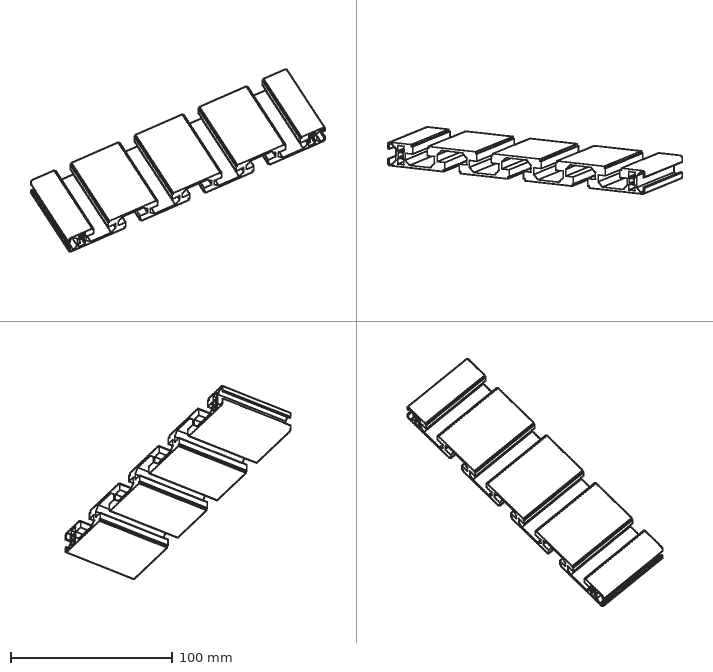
import cadquery as cq

length = 50.0
width = 180.0
height = 15.0
edge_fillet = 1.8

slot_pitch = width / 4
top_slot_centers = [(i - 1.5) * slot_pitch for i in range(4)]
bottom_slot_centers = [(i - 1) * slot_pitch for i in range(3)]
slot_opening = 10.0
slot_step_width = 11.9
slot_step_depth = 1.3
slot_lip = 6.0
slot_chamber_width = 20.5
slot_floor = 1.6
slot_chamfer = 3.0

side_wall = 1.0
side_opening = 6.1
side_opening_flare = 0.27
side_depth = 5.8
side_chamfer = 2.7
side_corner_fillet = edge_fillet - side_wall

hollow_wall = 1.3
hollow_width = 4.3
hollow_height = height - 2 * slot_floor
hollow_center = width / 2 - side_depth - hollow_wall - hollow_width / 2
rib_span = 4.9
rib_gap = 2.2
pocket_width = 3.2
pocket_height = 2.9


def bar(size_y, size_z):
    """Rectangular bar along the whole length, centred on the origin."""
    return cq.Workplane("XY").box(length, size_y, size_z)


def top_slot():
    """Space taken by one T-slot open to the top face, centred on Y = 0."""
    top = height / 2
    chamber_top = top - slot_lip
    floor = slot_floor - height / 2
    opening = bar(slot_opening, slot_lip).translate((0, 0, top - slot_lip / 2))
    step = bar(slot_step_width, slot_step_depth).translate((0, 0, top - slot_step_depth / 2))
    chamber = (
        bar(slot_chamber_width, chamber_top - floor)
        .edges("|X and <Z")
        .chamfer(slot_chamfer)
        .translate((0, 0, (chamber_top + floor) / 2))
    )
    return chamber.union(opening).union(step)


def side_slot():
    """Space taken by the T-slot open to the +Y edge."""
    chamber_depth = side_depth - side_wall
    chamber = (
        bar(chamber_depth, height - 2 * side_wall)
        .edges("|X and <Y")
        .chamfer(side_chamfer)
        .edges("|X and >Y")
        .fillet(side_corner_fillet)
        .translate((0, width / 2 - side_wall - chamber_depth / 2, 0))
    )
    inner_y = width / 2 - side_wall
    inner_half = side_opening / 2
    outer_half = inner_half + side_opening_flare
    opening = (
        cq.Workplane("YZ")
        .polyline(
            [
                (inner_y, -inner_half),
                (width / 2, -outer_half),
                (width / 2, outer_half),
                (inner_y, inner_half),
            ]
        )
        .close()
        .extrude(length / 2, both=True)
    )
    return chamber.union(opening)


def hollow():
    """Closed passage near the +Y edge: two chambers joined through a ribbed middle pocket."""
    ribs = bar(hollow_width, rib_span).cut(bar(rib_gap, rib_span))
    pocket = bar(pocket_width, pocket_height)
    passage = bar(hollow_width, hollow_height).cut(ribs).union(pocket)
    return passage.translate((0, hollow_center, 0))


result = bar(width, height).edges("|X").fillet(edge_fillet)

slot_from_top = top_slot()
for center in top_slot_centers:
    result = result.cut(slot_from_top.translate((0, center, 0)))

slot_from_bottom = slot_from_top.mirror("XY")
for center in bottom_slot_centers:
    result = result.cut(slot_from_bottom.translate((0, center, 0)))

for end_feature in (side_slot(), hollow()):
    result = result.cut(end_feature).cut(end_feature.mirror("XZ"))